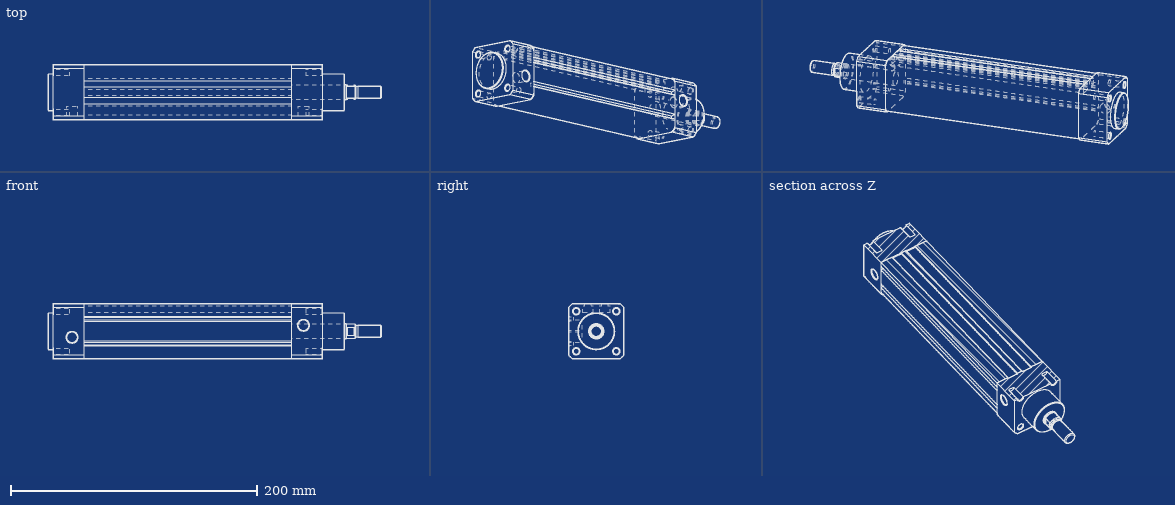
import cadquery as cq
import math

TOTAL_LENGTH = 271.0
WIDTH = 45.0
HALF_WIDTH = WIDTH / 2

REAR_CAP_START = 4.0
CAP_LENGTH = 25.2
FRONT_CAP_END = 223.0
COLLAR_END = 241.0
BARREL_START = REAR_CAP_START + CAP_LENGTH
BARREL_END = FRONT_CAP_END - CAP_LENGTH
BARREL_LENGTH = BARREL_END - BARREL_START

CAP_CORNER_DIAMETER = 59.3
BOSS_DIAMETER = 30.0
BOSS_BEVEL = 0.5
SCREW_PITCH = 32.5
SCREW_DIAMETER = 5.0
SCREW_COUNTERSINK = 6.0
SCREW_COUNTERSINK_ANGLE = 90.0
SCREW_DEPTH = 13.5
PORT_DIAMETER = 8.7
PORT_MOUTH_DIAMETER = 9.8
PORT_BEVEL_ANGLE = 45.0
PORT_DEPTH = 10.8
PORT_OFFSET_Z = 5.0
REAR_PORT_X = 19.5
FRONT_PORT_X = 207.5

BARREL_CORNER_RADIUS = 6.5
TSLOT_CENTER = 6.8
TSLOT_MOUTH = 5.1
TSLOT_WIDTH = 8.7
TSLOT_LIP = 2.0
TSLOT_DEPTH = 7.0
GROOVE_CENTER = 10.0
GROOVE_MOUTH = 4.0
GROOVE_DEPTH = 4.0
GROOVE_WALL_ANGLE = 14.0

ROD_DIAMETER = 12.0
BAND_DIAMETER = 12.5
BAND_END = 242.5
BAND_BEVEL = (BAND_DIAMETER - ROD_DIAMETER) / 2
FLATS_WIDTH = 10.0
FLATS_START = 243.4
FLATS_END = 248.8
SHOULDER_END = 250.0
SHOULDER_BEVEL = 0.8
NECK_DIAMETER = 9.5
THREAD_START = 251.8
THREAD_DIAMETER = 10.0
THREAD_BEVEL = 0.8


def cylinder_x(diameter, start, end):
    """Cylinder on the X axis."""
    return cq.Workplane("YZ", origin=(start, 0, 0)).circle(diameter / 2).extrude(end - start)


def make_cap_block(start):
    """Square block whose long edges are turned down to a round about the axis."""
    block = cq.Workplane("YZ", origin=(start, 0, 0)).rect(WIDTH, WIDTH).extrude(CAP_LENGTH)
    return block.intersect(cylinder_x(CAP_CORNER_DIAMETER, start, start + CAP_LENGTH))


def cut_screw_holes(cap, outer_face):
    """Four countersunk blind screw holes in the outer face."""
    return (
        cap.faces(outer_face)
        .workplane(origin=(0, 0, 0))
        .rect(SCREW_PITCH, SCREW_PITCH, forConstruction=True)
        .vertices()
        .cskHole(SCREW_DIAMETER, SCREW_COUNTERSINK, SCREW_COUNTERSINK_ANGLE, SCREW_DEPTH)
    )


def cut_port(cap, x, z):
    """Blind air port with a bevelled mouth in the -Y side."""
    mouth_step = (PORT_MOUTH_DIAMETER - PORT_DIAMETER) / 2
    mouth_depth = mouth_step / math.tan(math.radians(PORT_BEVEL_ANGLE))
    entry = cq.Workplane("XZ", origin=(x, -HALF_WIDTH, z))
    bore = entry.circle(PORT_DIAMETER / 2).extrude(-PORT_DEPTH)
    mouth = entry.circle(PORT_MOUTH_DIAMETER / 2).extrude(-mouth_depth, taper=PORT_BEVEL_ANGLE)
    return cap.cut(bore).cut(mouth)


def make_rear_cap():
    boss = cylinder_x(BOSS_DIAMETER, 0, REAR_CAP_START).faces("<X").chamfer(BOSS_BEVEL)
    cap = cut_screw_holes(make_cap_block(REAR_CAP_START), "<X")
    return cut_port(cap, REAR_PORT_X, -PORT_OFFSET_Z).union(boss)


def make_front_cap():
    collar = cylinder_x(BOSS_DIAMETER, FRONT_CAP_END, COLLAR_END).faces(">X").chamfer(BOSS_BEVEL)
    cap = cut_screw_holes(make_cap_block(BARREL_END), ">X")
    cap = cut_port(cap, FRONT_PORT_X, PORT_OFFSET_Z).union(collar)
    return cap.cut(cylinder_x(ROD_DIAMETER, BARREL_END, COLLAR_END))


def barrel_prism(outline):
    """Closed (Y, Z) outline swept over the barrel length."""
    section = cq.Workplane("YZ", origin=(BARREL_START, 0, 0)).polyline(outline).close()
    return section.extrude(BARREL_LENGTH)


def make_tslot(side):
    """T-slot in the top face; side is +1 or -1 along Y."""
    center = side * TSLOT_CENTER
    lip_bottom = HALF_WIDTH - TSLOT_LIP
    floor = HALF_WIDTH - TSLOT_DEPTH
    mouth = TSLOT_MOUTH / 2
    inner = TSLOT_WIDTH / 2
    return barrel_prism([
        (center - mouth, HALF_WIDTH),
        (center - mouth, lip_bottom),
        (center - inner, lip_bottom),
        (center - inner, floor),
        (center + inner, floor),
        (center + inner, lip_bottom),
        (center + mouth, lip_bottom),
        (center + mouth, HALF_WIDTH),
    ])


def make_groove(side):
    """Tapered groove in the -Y face; side is +1 or -1 along Z."""
    center = side * GROOVE_CENTER
    mouth = GROOVE_MOUTH / 2
    floor = mouth - GROOVE_DEPTH * math.tan(math.radians(GROOVE_WALL_ANGLE))
    floor_y = GROOVE_DEPTH - HALF_WIDTH
    return barrel_prism([
        (-HALF_WIDTH, center - mouth),
        (floor_y, center - floor),
        (floor_y, center + floor),
        (-HALF_WIDTH, center + mouth),
    ])


def make_barrel():
    barrel = (
        cq.Workplane("YZ", origin=(BARREL_START, 0, 0))
        .rect(WIDTH, WIDTH)
        .extrude(BARREL_LENGTH)
        .edges("|X")
        .fillet(BARREL_CORNER_RADIUS)
    )
    for side in (-1, 1):
        barrel = barrel.cut(make_tslot(side)).cut(make_groove(side))
    return barrel


def cut_wrench_flats(shank):
    """Two parallel flats on the +Y and -Y sides."""
    length = FLATS_END - FLATS_START
    center_x = (FLATS_START + FLATS_END) / 2
    waste = cq.Workplane().box(length, ROD_DIAMETER, ROD_DIAMETER)
    for side in (-1, 1):
        center_y = side * (FLATS_WIDTH + ROD_DIAMETER) / 2
        shank = shank.cut(waste.translate((center_x, center_y, 0)))
    return shank


def make_rod():
    """Rod that fills the front cap bore, with a band resting on the collar and a threaded end."""
    shank = cylinder_x(ROD_DIAMETER, BARREL_END, SHOULDER_END).faces(">X").chamfer(SHOULDER_BEVEL)
    band = cylinder_x(BAND_DIAMETER, COLLAR_END, BAND_END).faces(">X").chamfer(BAND_BEVEL)
    neck = cylinder_x(NECK_DIAMETER, SHOULDER_END, THREAD_START)
    thread = cylinder_x(THREAD_DIAMETER, THREAD_START, TOTAL_LENGTH).faces(">X").chamfer(THREAD_BEVEL)
    return cut_wrench_flats(shank).union(band).union(neck).union(thread)


rear_cap = make_rear_cap()
barrel = make_barrel()
front_cap = make_front_cap()
rod = make_rod()

result = cq.Compound.makeCompound([rear_cap.val(), barrel.val(), front_cap.val(), rod.val()])